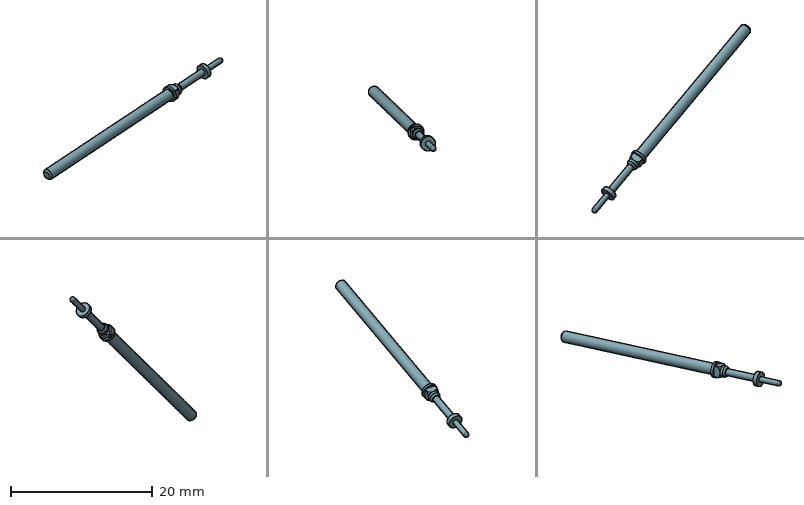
import cadquery as cq
import math


total_length = 36.5
tip_y = total_length / 2
tail_y = -total_length / 2

tip_radius = 0.4
disc_radius = 1.05
disc_thickness = 0.62
disc_front_y = 14.82
shaft_radius = 0.5

barrel_radius = 1.65 / 2
barrel_front_y = 9.27
mouth_radius = 0.62
mouth_taper_length = 0.33
tail_chamfer = 0.25

collar_radius = 2.3 / 2
collar_thickness = 0.35
collar_front_y = 7.55

square_side = 2 * barrel_radius
square_corner_radius = 1.13
square_front_y = 8.55


def cylinder(radius, front_y, back_y):
    """Solid cylinder on the Y axis between two stations."""
    return cq.Workplane("XZ", origin=(0, front_y, 0)).circle(radius).extrude(front_y - back_y)


def make_plunger():
    """Pin with a hemispherical tip, a thicker shaft behind it and a disc between them."""
    disc_back_y = disc_front_y - disc_thickness
    dome_center_y = tip_y - tip_radius
    dome_offset = tip_radius * math.sqrt(0.5)
    dome_middle = (dome_offset, dome_center_y + dome_offset)
    dome_edge = (tip_radius, dome_center_y)
    pin = (
        cq.Workplane("XY")
        .moveTo(0, tip_y)
        .threePointArc(dome_middle, dome_edge)
        .lineTo(tip_radius, disc_back_y)
        .lineTo(0, disc_back_y)
        .close()
        .revolve(360, (0, 0, 0), (0, 1, 0))
    )
    disc = cylinder(disc_radius, disc_front_y, disc_back_y)
    shaft = cylinder(shaft_radius, disc_back_y, barrel_front_y)
    return pin.union(disc).union(shaft)


def make_barrel():
    """Tube body with a tapered mouth, a chamfered tail and a collar."""
    body = (
        cq.Workplane("XY")
        .moveTo(0, barrel_front_y)
        .lineTo(mouth_radius, barrel_front_y)
        .lineTo(barrel_radius, barrel_front_y - mouth_taper_length)
        .lineTo(barrel_radius, tail_y + tail_chamfer)
        .lineTo(barrel_radius - tail_chamfer, tail_y)
        .lineTo(0, tail_y)
        .close()
        .revolve(360, (0, 0, 0), (0, 1, 0))
    )
    collar = cylinder(collar_radius, collar_front_y, collar_front_y - collar_thickness)
    return body.union(collar)


def make_wrench_section():
    """Square block in front of the collar, trimmed to a turned blank with a chamfered front."""
    length = square_front_y - collar_front_y
    block = cq.Workplane("XZ", origin=(0, square_front_y, 0)).rect(square_side, square_side).extrude(length)
    chamfer = square_corner_radius - barrel_radius
    blank = cylinder(square_corner_radius, square_front_y, collar_front_y).faces(">Y").chamfer(chamfer)
    return block.intersect(blank)


result = make_plunger().union(make_barrel()).union(make_wrench_section())